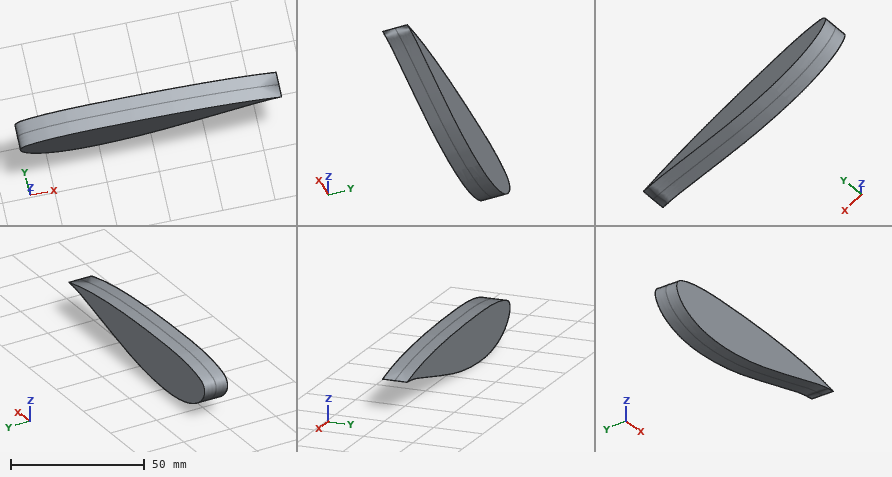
import cadquery as cq

chord = 100.0
span = 10.0
crest_height = 6.3
belly_depth = 12.9
crest_x = 31.0
belly_x = 29.5

trailing_edge = (chord, 0)
leading_edge = (0, 0)
upper_stations = [
    (90, 2.2),
    (75, 4.3),
    (60, 5.5),
    (45, 6.1),
    (crest_x, crest_height),
    (20, 6.1),
    (10, 5.1),
    (4, 3.7),
    (1, 2.1),
]
lower_stations = [
    (1, -3.3),
    (4, -6.6),
    (9, -9.5),
    (17, -11.9),
    (belly_x, -belly_depth),
    (40, -12.3),
    (52, -10.6),
    (65, -7.7),
    (80, -4.0),
    (90, -1.4),
]

section_points = [trailing_edge] + upper_stations + [leading_edge] + lower_stations + [trailing_edge]
section = cq.Workplane("XZ").spline(section_points).wire()

result = section.extrude(span / 2, both=True)